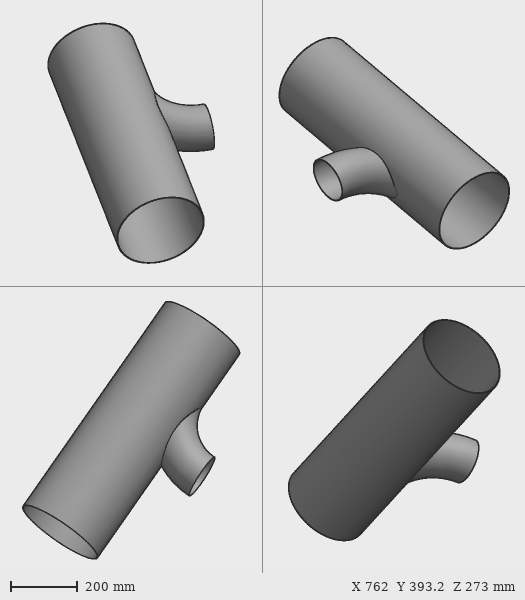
import cadquery as cq

pipe_length = 762.0
pipe_outer_diameter = 273.0
pipe_bore_diameter = 267.0

elbow_outer_diameter = 139.7
elbow_wall = 3.0
elbow_bore_diameter = elbow_outer_diameter - 2 * elbow_wall
elbow_bend_radius = 190.5
elbow_bend_angle = 90.0
overall_depth = 393.15
elbow_end_y = overall_depth - pipe_outer_diameter / 2


def pipe_cylinder(diameter):
    """Solid cylinder of the pipe's length, centred on the X axis."""
    start = cq.Workplane("YZ").workplane(offset=-pipe_length / 2)
    return start.circle(diameter / 2).extrude(pipe_length)


def elbow_bend(diameter):
    """Solid quarter bend starting at the open end and curving towards -X."""
    open_end = cq.Workplane("XZ", origin=(0, elbow_end_y, 0)).circle(diameter / 2)
    axis_start = (-elbow_bend_radius, 0)
    axis_end = (-elbow_bend_radius, -1)
    return open_end.revolve(elbow_bend_angle, axis_start, axis_end)


pipe_outside = pipe_cylinder(pipe_outer_diameter)
pipe_bore = pipe_cylinder(pipe_bore_diameter)
elbow_bore = elbow_bend(elbow_bore_diameter)

outside = pipe_outside.union(elbow_bend(elbow_outer_diameter))
result = outside.cut(pipe_bore).cut(elbow_bore)